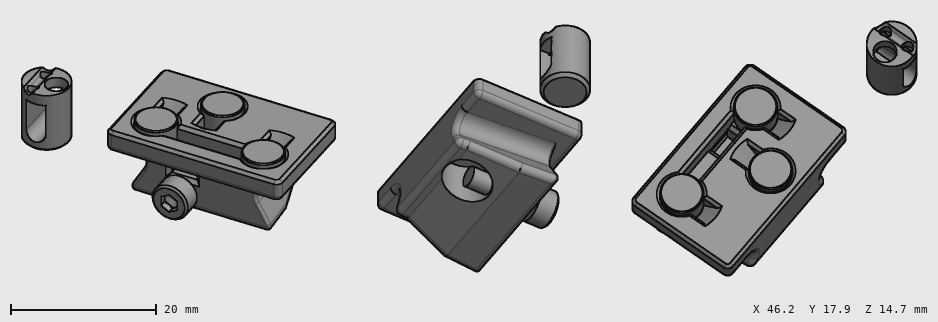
import cadquery as cq
import math

overall_length = 46.2

plate_width = 27.0
plate_depth = 17.2
plate_height = 3.37
plate_corner_radius = 0.92
plate_bottom_radius = 0.9
plate_top_chamfer = 0.45
plate_back = plate_depth / 2

block_front = -6.25
block_bottom = -10.75
block_back_bottom = -8.65
slope_start_y = -0.55
slope_end_y = 6.75
waist_half_width = 8.6
waist_radius = 2.0
flank_angle = math.radians(60)
flank_taper = math.radians(4.5)
front_edge_radius = 0.4
block_edge_radius = 0.9

magnet_diameter = 6.0
magnet_height = 3.0
magnet_rise = 0.45
magnet_chamfer = 0.2
front_magnet_x = 8.3
front_magnet_y = -3.5
back_magnet_x = -1.95
back_magnet_y = 3.97
magnet_places = [
    (-front_magnet_x, front_magnet_y, 1),
    (front_magnet_x, front_magnet_y, 1),
    (back_magnet_x, back_magnet_y, -1),
]

pocket_depth = magnet_height - magnet_rise
pocket_diameter = 6.1
pocket_mouth_diameter = 6.9
notch_reach = 5.82
notch_width = 2.95
notch_chamfer = 0.45

channel_y = -4.25
channel_width = 2.45
channel_depth = 2.85
channel_chamfer = 0.5

window_x = -2.77
window_width = 3.97
window_bottom = -5.95
window_chamfer = 0.6

barrel_diameter = 6.9
barrel_height = 9.48
barrel_x = (plate_width + barrel_diameter) / 2 - overall_length
barrel_y = back_magnet_y
barrel_top = -4.75
barrel_chamfer = 0.5
slot_width = 3.0
slot_top = barrel_top - 1.65
slot_bottom = barrel_top - 8.05
groove_x = -1.25
groove_half_width = 0.9
groove_root_radius = 0.7
socket_depth = 1.85
spring_socket_diameter = 3.25
spring_socket_x = 1.53
wire_hole_diameter = 1.6
wire_hole_x = -1.05
wire_hole_y = 1.9

screw_x = -3.3
screw_z = -8.5
head_diameter = 5.5
head_height = 3.0
head_chamfer = 0.32
shank_diameter = 3.0
shank_length = 10.0
hex_across_flats = 2.5
hex_depth = 1.15
hex_point_angle = math.radians(60)

bore_diameter = 7.03


def box_between(x_low, x_high, y_low, y_high, z_low, z_high):
    box = cq.Workplane("XY").box(x_high - x_low, y_high - y_low, z_high - z_low, centered=False)
    return box.translate((x_low, y_low, z_low))


def disc(diameter, x, y, z_low, z_high):
    """Vertical cylinder between two heights."""
    return cq.Workplane("XY", origin=(x, y, z_low)).circle(diameter / 2).extrude(z_high - z_low)


def rod(diameter, x, z, y_front, y_back):
    """Cylinder along Y between two places."""
    return cq.Workplane("XZ", origin=(x, y_front, z)).circle(diameter / 2).extrude(y_front - y_back)


def groove_mouth(half_width, chamfer, length):
    """45 degree flare of a groove that runs along +X, with its mouth at z = 0 and its axis on y = 0."""
    outer = half_width + chamfer
    corners = [(-outer, 0), (outer, 0), (half_width, -chamfer), (-half_width, -chamfer)]
    return cq.Workplane("YZ").polyline(corners).close().extrude(length)


def make_plate():
    box = box_between(-plate_width / 2, plate_width / 2, -plate_back, plate_back, -plate_height, 0)
    plate = box.edges("|Z").fillet(plate_corner_radius)
    plate = plate.faces("<Z").edges().fillet(plate_bottom_radius)
    return plate.faces(">Z").edges().chamfer(plate_top_chamfer)


def make_block():
    """Dovetail with hollow necks that narrows toward the rear, cut to a slope under its rear half."""
    centre_x = waist_half_width + waist_radius
    centre_z = -plate_height - waist_radius
    turn = math.pi - flank_angle / 2
    neck_middle = (centre_x + waist_radius * math.cos(turn), centre_z + waist_radius * math.sin(turn))
    neck_end_x = centre_x - waist_radius * math.sin(flank_angle)
    neck_end_z = centre_z - waist_radius * math.cos(flank_angle)
    foot_x = neck_end_x + (neck_end_z - block_bottom) / math.tan(flank_angle)
    half_outline = (
        cq.Workplane("XZ", origin=(0, block_front, 0))
        .moveTo(0, block_bottom)
        .lineTo(foot_x, block_bottom)
        .lineTo(neck_end_x, neck_end_z)
        .threePointArc(neck_middle, (centre_x, -plate_height))
        .lineTo(centre_x, -plate_height + plate_bottom_radius)
        .lineTo(0, -plate_height + plate_bottom_radius)
        .close()
    )
    block_length = plate_back - block_front
    toward_rear = cq.Vector(-block_length * math.tan(flank_taper), block_length, 0)
    half = cq.Workplane(cq.Solid.extrudeLinear(half_outline.val(), [], toward_rear))
    block = half.union(half.mirror("YZ"))

    underside = (
        cq.Workplane("YZ", origin=(-foot_x, 0, 0))
        .moveTo(slope_start_y, block_bottom)
        .lineTo(slope_end_y, block_back_bottom)
        .lineTo(plate_back, block_back_bottom)
        .lineTo(plate_back, block_bottom)
        .close()
        .extrude(2 * foot_x)
    )
    return block.cut(underside)


def round_block(block):
    """Rounds the rim of the underside and the flank edges of both ends, leaving the plate joint sharp."""
    neck_low_z = -plate_height - 0.25
    slope_folds = (slope_start_y, slope_end_y)

    def below_plate(edge):
        return edge.Center().z < neck_low_z

    def on_rim(edge):
        on_fold = any(abs(edge.Center().y - y) < 0.005 for y in slope_folds)
        return edge.BoundingBox().zmax < block_back_bottom + 0.05 and not on_fold

    rear_flanks = [edge for edge in block.faces(">Y").edges("not |X").vals() if below_plate(edge)]
    rim = [edge for edge in block.edges().vals() if on_rim(edge)]
    block = block.newObject(rim + rear_flanks).fillet(block_edge_radius)
    front_flanks = [edge for edge in block.faces("<Y").edges("not |X").vals() if below_plate(edge)]
    return block.newObject(front_flanks).fillet(front_edge_radius)


def make_pocket(x, y, direction):
    """Magnet pocket with a flared mouth and a pry notch toward +Y or -Y."""
    flare = (pocket_mouth_diameter - pocket_diameter) / 2
    pocket = disc(pocket_diameter, 0, 0, -pocket_depth, 0)
    pocket = pocket.union(cq.Workplane(cq.Solid.makeCone(
        pocket_diameter / 2, pocket_mouth_diameter / 2, flare, pnt=cq.Vector(0, 0, -flare))))

    ramp = cq.Workplane(cq.Solid.makeCone(
        pocket_diameter / 2, notch_reach, pocket_depth, pnt=cq.Vector(0, 0, -pocket_depth)))
    notch = box_between(-notch_width / 2, notch_width / 2, 0, notch_reach, -pocket_depth, 0)
    mouth = groove_mouth(notch_width / 2, notch_chamfer, notch_reach).rotate((0, 0, 0), (0, 0, 1), 90)
    pocket = pocket.union(notch.union(mouth).intersect(ramp))
    if direction < 0:
        pocket = pocket.rotate((0, 0, 0), (0, 0, 1), 180)
    return pocket.translate((x, y, 0))


def make_channel():
    """Flared channel between the front pockets."""
    half = channel_width / 2
    length = 2 * front_magnet_x
    channel = box_between(0, length, -half, half, -channel_depth, 0)
    channel = channel.union(groove_mouth(half, channel_chamfer, length))
    return channel.translate((-front_magnet_x, channel_y, 0))


def make_window():
    """Tunnel along Y from the block's front face to the bore, open to the channel above it."""
    left = window_x - window_width / 2
    right = window_x + window_width / 2
    window = box_between(left, right, block_front, barrel_y, window_bottom, -plate_height)

    flare = (
        cq.Workplane("XZ", origin=(window_x, block_front, 0))
        .center(0, (window_bottom - plate_height) / 2)
        .rect(window_width + 2 * window_chamfer, -plate_height - window_bottom + 2 * window_chamfer)
        .extrude(-window_chamfer, taper=45)
    )
    flare = flare.intersect(
        box_between(-plate_width, plate_width, -plate_depth, plate_depth, block_bottom, -plate_height))

    channel_front = channel_y - channel_width / 2
    channel_back = channel_y + channel_width / 2
    shaft = box_between(left, right, channel_front, channel_back, window_bottom, -channel_depth)
    shaft_mouth = (
        groove_mouth(window_width / 2, window_chamfer, channel_width)
        .rotate((0, 0, 0), (0, 0, 1), 90)
        .translate((window_x, channel_front, -channel_depth))
    )
    return window.union(flare).union(shaft).union(shaft_mouth)


def make_housing():
    housing = make_plate().union(round_block(make_block()))
    for x, y, direction in magnet_places:
        housing = housing.cut(make_pocket(x, y, direction))
    housing = housing.cut(make_channel()).cut(make_window())
    housing = housing.cut(disc(bore_diameter, screw_x, barrel_y, block_bottom, -plate_height))
    return housing.cut(rod(shank_diameter, screw_x, screw_z, block_front, block_front + shank_length))


def make_magnet(x, y):
    magnet = disc(magnet_diameter, x, y, -pocket_depth, magnet_rise)
    return magnet.faces(">Z").edges().chamfer(magnet_chamfer)


def make_barrel():
    bottom = barrel_top - barrel_height
    barrel = disc(barrel_diameter, 0, 0, bottom, barrel_top).faces("<Z").edges().chamfer(barrel_chamfer)

    radius = barrel_diameter / 2
    slot_centre_z = slot_bottom + slot_width / 2
    slot = box_between(-slot_width / 2, slot_width / 2, -radius, radius, slot_centre_z, slot_top)
    slot = slot.union(rod(slot_width, 0, slot_centre_z, -radius, radius))

    groove = (
        cq.Workplane("XZ", origin=(groove_x, radius, barrel_top))
        .polyline([(-groove_half_width, 0), (groove_half_width, 0), (0, -groove_half_width)])
        .close()
        .extrude(barrel_diameter)
        .edges("<Z")
        .fillet(groove_root_radius)
    )

    socket_bottom = barrel_top - socket_depth
    barrel = barrel.cut(slot).cut(groove)
    barrel = barrel.cut(disc(spring_socket_diameter, spring_socket_x, 0, socket_bottom, barrel_top))
    for y in (-wire_hole_y, wire_hole_y):
        barrel = barrel.cut(disc(wire_hole_diameter, wire_hole_x, y, socket_bottom, barrel_top))
    return barrel.translate((barrel_x, barrel_y, 0))


def make_screw():
    head_front = block_front - head_height
    head = rod(head_diameter, screw_x, screw_z, head_front, block_front)
    head = head.faces("<Y").edges().chamfer(head_chamfer)
    shank = rod(shank_diameter, screw_x, screw_z, block_front, block_front + shank_length)

    hex_corner = hex_across_flats / math.sqrt(3)
    socket = (
        cq.Workplane("XZ", origin=(screw_x, head_front, screw_z))
        .transformed(rotate=(0, 0, 30))
        .polygon(6, 2 * hex_corner)
        .extrude(-hex_depth)
    )
    point_height = hex_corner / math.tan(hex_point_angle)
    floor_point = cq.Workplane(cq.Solid.makeCone(
        hex_corner, 0, point_height,
        pnt=cq.Vector(screw_x, head_front + hex_depth, screw_z), dir=cq.Vector(0, 1, 0)))
    return head.union(shank).cut(socket).cut(floor_point)


housing = make_housing()
barrel = make_barrel()
screw = make_screw()
magnets = [make_magnet(x, y) for x, y, _ in magnet_places]

result = cq.Compound.makeCompound(
    [housing.val(), barrel.val(), screw.val(), *[magnet.val() for magnet in magnets]]
)